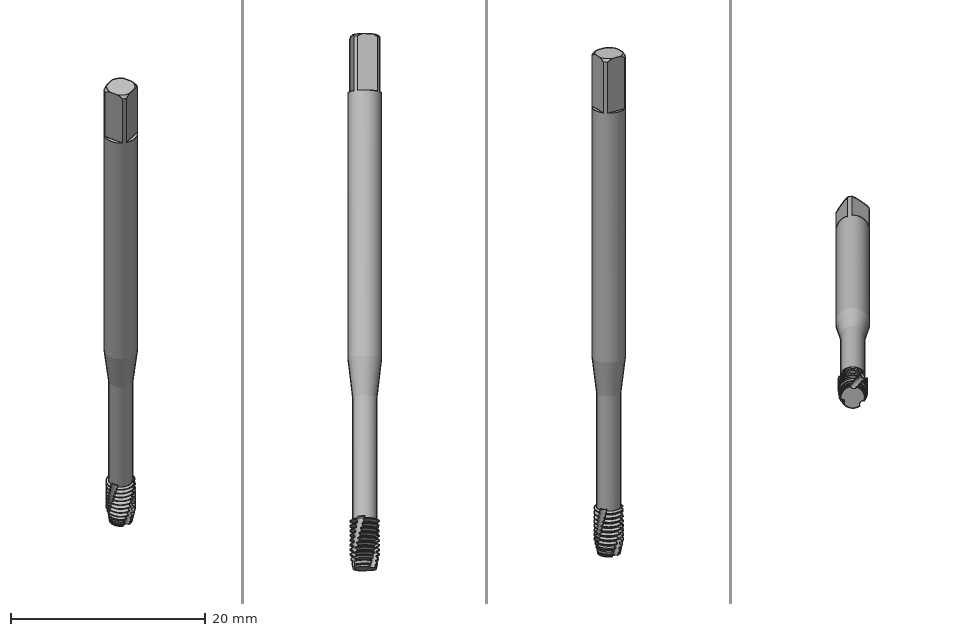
import cadquery as cq
import math

total_length = 56.0
shank_diameter = 3.5
neck_diameter = 2.5
neck_top = 18.0
taper_top = 22.0
square_length = 6.0
square_width = 2.75
square_chamfer = 0.3

thread_diameter = 3.0
root_diameter = 2.4
thread_pitch = 0.5
pitch_count = 10
crest_width = 0.07
root_width = 0.09
tip_diameter = 2.4
lead_length = 1.45

flute_count = 3
flute_diameter = 0.8
flute_center_radius = 1.35
flute_lead = 30.8
flute_start_angle = 210.0
flute_runout = 0.15

square_bottom = total_length - square_length
shank_radius = shank_diameter / 2
neck_radius = neck_diameter / 2
crest_radius = thread_diameter / 2
root_radius = root_diameter / 2
flank_height = (thread_pitch - crest_width - root_width) / 2
last_crest_top = pitch_count * thread_pitch + crest_width / 2
head_length = last_crest_top + flank_height * (crest_radius - neck_radius) / (crest_radius - root_radius)
flute_length = head_length + flute_runout


def revolve_profile(points):
    """Solid of revolution about Z from (radius, height) points."""
    profile = cq.Workplane("XZ").polyline(points).close()
    return profile.revolve(360, (0, 0, 0), (0, 1, 0))


def make_driving_square():
    """Square prism that keeps the round shank surface at its corners, chamfered at the end."""
    square = (
        cq.Workplane("XY", origin=(0, 0, square_bottom))
        .rect(square_width, square_width)
        .extrude(square_length)
    )
    corner_envelope = revolve_profile([
        (0, square_bottom),
        (shank_radius, square_bottom),
        (shank_radius, total_length - square_chamfer),
        (shank_radius - square_chamfer, total_length),
        (0, total_length),
    ])
    return square.intersect(corner_envelope)


def make_flute_cutters():
    """One helical cutter per flute, evenly spaced around the axis."""
    twist = 360 * flute_length / flute_lead
    cutters = []
    for i in range(flute_count):
        angle = math.radians(flute_start_angle + i * 360 / flute_count)
        center_x = flute_center_radius * math.cos(angle)
        center_y = flute_center_radius * math.sin(angle)
        cutter = (
            cq.Workplane("XY")
            .moveTo(center_x, center_y)
            .circle(flute_diameter / 2)
            .twistExtrude(flute_length, twist)
        )
        cutters.append(cutter)
    return cutters


def cut_flutes(body):
    for cutter in make_flute_cutters():
        body = body.cut(cutter)
    return body


def make_shank():
    round_part = revolve_profile([
        (0, head_length),
        (neck_radius, head_length),
        (neck_radius, neck_top),
        (shank_radius, taper_top),
        (shank_radius, square_bottom),
        (0, square_bottom),
    ])
    return cut_flutes(round_part.union(make_driving_square()))


def make_threaded_blank():
    """Ring-threaded core before the lead and the flutes are cut."""
    points = [(0, 0), (crest_radius, 0)]
    for i in range(pitch_count):
        crest_bottom = i * thread_pitch
        root_middle = crest_bottom + thread_pitch / 2
        points += [
            (crest_radius, crest_bottom + crest_width / 2),
            (root_radius, root_middle - root_width / 2),
            (root_radius, root_middle + root_width / 2),
            (crest_radius, crest_bottom + thread_pitch - crest_width / 2),
        ]
    points += [(crest_radius, last_crest_top), (neck_radius, head_length), (0, head_length)]
    return revolve_profile(points)


def make_lead_envelope():
    """Conical lead at the tip, opening to the full thread diameter."""
    return revolve_profile([
        (0, 0),
        (tip_diameter / 2, 0),
        (crest_radius, lead_length),
        (crest_radius, head_length),
        (0, head_length),
    ])


def make_cutting_head():
    return cut_flutes(make_threaded_blank().intersect(make_lead_envelope()))


shank = make_shank()
cutting_head = make_cutting_head()
result = cq.Compound.makeCompound([shank.val(), cutting_head.val()])